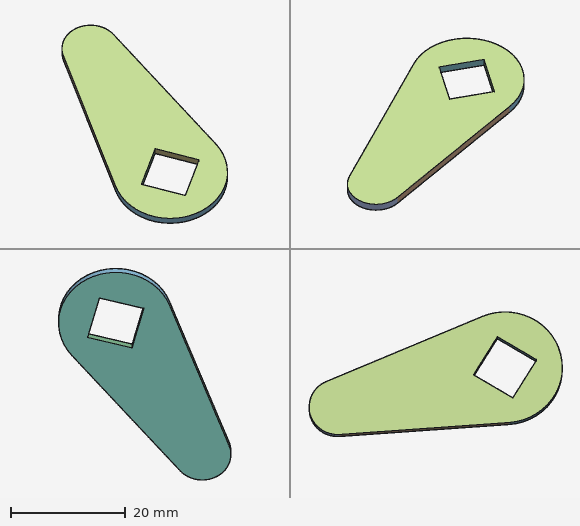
import cadquery as cq
import math

length = 45.0
width = 20.0
thickness = 1.5
small_radius = 5.0
square_side = 8.0
square_turn = 45.0

large_radius = width / 2
center_distance = length - large_radius - small_radius
small_center_x = -center_distance

tangent_angle = math.acos((large_radius - small_radius) / center_distance)


def tangent_point(center_x, radius, side):
    """Point where the straight edge on the +Y (1) or -Y (-1) side meets an end arc."""
    return (
        center_x - radius * math.cos(tangent_angle),
        side * radius * math.sin(tangent_angle),
    )


def lever_plate():
    return (
        cq.Workplane("XY")
        .moveTo(*tangent_point(0, large_radius, 1))
        .threePointArc((large_radius, 0), tangent_point(0, large_radius, -1))
        .lineTo(*tangent_point(small_center_x, small_radius, -1))
        .threePointArc(
            (small_center_x - small_radius, 0),
            tangent_point(small_center_x, small_radius, 1),
        )
        .close()
        .extrude(thickness)
    )


def square_hole():
    return (
        cq.Workplane("XY")
        .transformed(rotate=(0, 0, square_turn))
        .rect(square_side, square_side)
        .extrude(thickness)
    )


result = lever_plate().cut(square_hole())